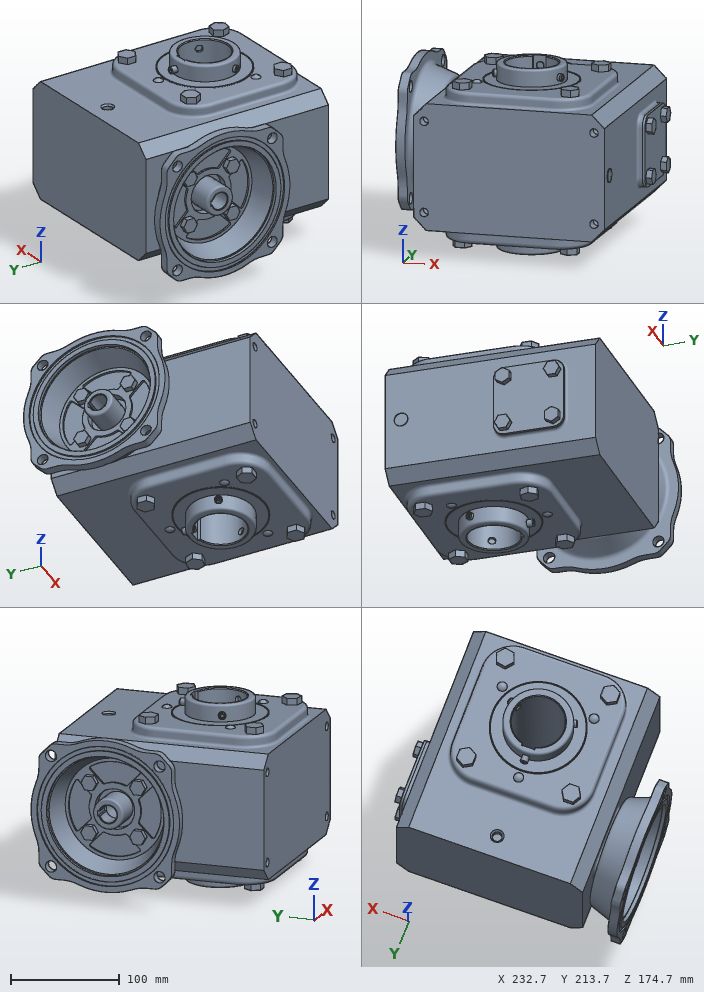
import cadquery as cq
import math


HOUSING_WIDTH = 182.5
HOUSING_HEIGHT = 119.8
HOUSING_Y_MIN = -75.0
HOUSING_Y_MAX = 128.7
HOUSING_CHAMFER = 12.0
WORM_OFFSET = 66.3

FACE_HOLE_X = 81.2
FACE_HOLE_Z = 43.0
FACE_HOLE_RADIUS = 4.0
FACE_HOLE_DEPTH = 11.6

PAD_SIDE = 138.5
PAD_CORNER_RADIUS = 29.8
PAD_HEIGHT = 11.5
PAD_TOP_FILLET = 3.5
PAD_FOOT_FILLET = 2.8
PAD_TOP_Z = HOUSING_HEIGHT / 2 + PAD_HEIGHT
PAD_BOLT_OFFSET = 51.5
PAD_BOLT_FLATS = 15.8
PAD_BOLT_HEIGHT = 6.5
PAD_BOLT_TURNS = (30, 0, -10, 30)
BUTTON_CIRCLE_RADIUS = 52.0
BUTTON_RADIUS = 4.7
BUTTON_HEIGHT = 2.3
BUTTON_ANGLES = (90, 210, 330)

BOSS_SIDE = 68.0
BOSS_CORNER_RADIUS = 10.2
BOSS_FOOT_FILLET = 2.3
INPUT_BOSS_HEIGHT = 2.5
END_BOSS_HEIGHT = 5.0
END_CAP_THICKNESS = 2.5
BOSS_BOLT_OFFSET = BOSS_SIDE / 2 - BOSS_CORNER_RADIUS
BOSS_BOLT_FLATS = 13.3
BOSS_BOLT_HEIGHT = 5.5
BOSS_BOLT_TURNS = (0, 30, 30, 0)

FILL_PLUG_Y = 108.5
FILL_PLUG_RADIUS = 6.3
FILL_PLUG_CONE_DEPTH = 1.6
FILL_PLUG_SOCKET_RADIUS = 4.7
FILL_PLUG_SOCKET_DEPTH = 7.0
LEVEL_PLUG_Y = -59.3
LEVEL_PLUG_RADIUS = 6.5
LEVEL_PLUG_HEIGHT = 0.7

SLEEVE_LENGTH = 174.7
SLEEVE_RADIUS = 32.5
SLEEVE_BORE_RADIUS = 25.0
SLEEVE_OUTER_FILLET = 2.0
SLEEVE_BORE_CHAMFER = 1.0
KEYWAY_WIDTH = 12.5
KEYWAY_TOP_Y = 26.8
SET_SCREW_Z = 77.7
SET_SCREW_RADIUS = 3.5
SET_SCREW_INNER_END = 28.0
SET_SCREW_SOCKET_FLATS = 3.3
SET_SCREW_SOCKET_DEPTH = 2.3
SET_SCREW_CHAMFER = 1.0
KEY_SCREW_ANGLE = 90.0
KEY_SCREW_OUTER_END = 39.0
SIDE_SCREW_ANGLES = (-22.5, 202.5)
SIDE_SCREW_OUTER_END = 36.0
SEAL_RADIUS = 45.0
SEAL_THICKNESS = 10.0
SEAL_CHAMFER = 1.0

FLANGE_LENGTH = 34.7
FLANGE_PLATE_THICKNESS = 8.8
FLANGE_RADIUS = 72.4
FLANGE_SIDE = 129.4
FLANGE_CORNER_CHAMFER = 12.5
FLANGE_CORNER_FILLET = 9.3
FLANGE_BLEND_RADIUS = 37.2
FLANGE_HOLE_OFFSET = 52.8
FLANGE_HOLE_RADIUS = 5.4
BELL_FRONT_RADIUS = 61.5
BELL_BACK_RADIUS = 52.4
BELL_FILLET = 4.7
MOUTH_RADIUS = 57.2
MOUTH_DEPTH = 3.5
CAVITY_FRONT_RADIUS = 55.8
CAVITY_FLOOR_RADIUS = 48.5
CAVITY_DEPTH = 26.5
FACE_GROOVE_INNER_RADIUS = 62.4
FACE_GROOVE_OUTER_RADIUS = 66.5
FACE_GROOVE_DEPTH = 1.9
FLANGE_CENTRE_HOLE_RADIUS = 19.3
FLOOR_POCKET_INNER_RADIUS = 25.1
FLOOR_POCKET_OUTER_RADIUS = 45.1
FLOOR_POCKET_DEPTH = 2.0
FLOOR_POCKET_FILLET = 1.9
FLOOR_RIB_WIDTH = 16.3

WORM_RADIUS = 14.7
WORM_FILLET = 1.9
WORM_BORE_RADIUS = 8.4
WORM_BORE_DEPTH = 18.5
WORM_BORE_CHAMFER = 0.7
WORM_KEYWAY_WIDTH = 5.0
WORM_KEYWAY_REACH = 10.2
WORM_RECESS = 8.0
DRILL_POINT_ANGLE = 118.0

SELECTION_MARGIN = 0.2

INPUT_FACE_X = -HOUSING_WIDTH / 2
BOSS_FACE_X = INPUT_FACE_X - INPUT_BOSS_HEIGHT
FLANGE_FACE_X = BOSS_FACE_X - FLANGE_LENGTH
END_BOSS_X = HOUSING_WIDTH / 2 + END_BOSS_HEIGHT


def worm_plane(x, direction):
    """Workplane square to the worm axis, facing +X or -X; its local X runs along the part's Y."""
    plane = cq.Plane(origin=(x, WORM_OFFSET, 0), xDir=(0, 1, 0), normal=(direction, 0, 0))
    return cq.Workplane(plane)


def output_plane(distance, direction):
    """Workplane square to the output axis, at a distance from the middle and facing outwards."""
    plane = cq.Plane(origin=(0, 0, direction * distance), xDir=(1, 0, 0), normal=(0, 0, direction))
    return cq.Workplane(plane)


def square_points(offset):
    return [(u, v) for u in (-offset, offset) for v in (-offset, offset)]


def hex_head(plane, centre, flats, height, turn=0):
    """Hexagonal bolt head standing on a plane."""
    corner_diameter = flats / math.cos(math.pi / 6)
    return (
        plane.center(*centre)
        .transformed(rotate=(0, 0, turn))
        .polygon(6, corner_diameter)
        .extrude(height)
    )


def rounded_square(plane, side, corner_radius, height):
    block = plane.rect(side, side).extrude(height)
    return block.edges(cq.selectors.ParallelDirSelector(plane.plane.zDir)).fillet(corner_radius)


def blind_hole(plane, centre, radius, depth):
    """Cutter for a drilled hole with a pointed bottom, going in against the plane's normal."""
    tip_depth = depth + radius / math.tan(math.radians(DRILL_POINT_ANGLE / 2))
    shank = plane.center(*centre).circle(radius).extrude(-depth)
    point = cq.Solid.makeCone(
        radius,
        0,
        tip_depth - depth,
        pnt=plane.center(*centre).workplane(offset=-depth).plane.origin,
        dir=-plane.plane.zDir,
    )
    return shank.union(cq.Workplane(point))


def revolved_about_worm(profile):
    """Solid of revolution about the worm axis, from (distance behind the flange face, radius) points."""
    plane = cq.Workplane("XY", origin=(FLANGE_FACE_X, WORM_OFFSET, 0))
    return plane.polyline(profile).close().revolve(360, (0, 0, 0), (1, 0, 0))


def box_around(centre, half_size):
    """Selector for whatever has its centre inside a box."""
    low = [c - h for c, h in zip(centre, half_size)]
    high = [c + h for c, h in zip(centre, half_size)]
    return cq.selectors.BoxSelector(low, high)


def housing_block():
    return (
        cq.Workplane("XZ", origin=(0, HOUSING_Y_MAX, 0))
        .rect(HOUSING_WIDTH, HOUSING_HEIGHT)
        .extrude(HOUSING_Y_MAX - HOUSING_Y_MIN)
        .edges("|Y")
        .chamfer(HOUSING_CHAMFER)
    )


def foot_edges(centre, normal, side):
    """Selector for the edges where a square boss of the given side meets the housing."""
    reach = side / 2 + SELECTION_MARGIN
    return box_around(centre, [SELECTION_MARGIN if component else reach for component in normal])


def add_output_pad(housing, direction):
    """Rounded pad with a flared foot, its bolt heads, button heads and seal recess."""
    foot_z = direction * HOUSING_HEIGHT / 2
    pad = rounded_square(
        output_plane(HOUSING_HEIGHT / 2, direction), PAD_SIDE, PAD_CORNER_RADIUS, PAD_HEIGHT
    )
    pad = pad.faces(">Z" if direction > 0 else "<Z").edges().fillet(PAD_TOP_FILLET)
    housing = housing.union(pad)
    housing = housing.edges(foot_edges((0, 0, foot_z), (0, 0, 1), PAD_SIDE)).fillet(PAD_FOOT_FILLET)

    top = output_plane(PAD_TOP_Z, direction)
    for centre, turn in zip(square_points(PAD_BOLT_OFFSET), PAD_BOLT_TURNS):
        housing = housing.union(hex_head(top, centre, PAD_BOLT_FLATS, PAD_BOLT_HEIGHT, turn))
    for button in button_heads(direction):
        housing = housing.union(button)
    return housing.cut(top.circle(SEAL_RADIUS).extrude(-SEAL_THICKNESS))


def button_heads(direction):
    """Three domed heads around the seal."""
    sphere_radius = (BUTTON_RADIUS**2 + BUTTON_HEIGHT**2) / (2 * BUTTON_HEIGHT)
    centre_z = PAD_TOP_Z + BUTTON_HEIGHT - sphere_radius
    above_pad = output_plane(PAD_TOP_Z, direction).rect(PAD_SIDE, PAD_SIDE).extrude(BUTTON_HEIGHT)
    heads = []
    for angle in BUTTON_ANGLES:
        x = BUTTON_CIRCLE_RADIUS * math.cos(math.radians(angle))
        y = BUTTON_CIRCLE_RADIUS * math.sin(math.radians(angle))
        ball = cq.Workplane(origin=(x, y, direction * centre_z)).sphere(sphere_radius)
        heads.append(ball.intersect(above_pad))
    return heads


def add_worm_boss(housing, direction, height):
    """Rounded square boss with a flared foot, on the worm axis."""
    foot_x = direction * HOUSING_WIDTH / 2
    boss = rounded_square(worm_plane(foot_x, direction), BOSS_SIDE, BOSS_CORNER_RADIUS, height)
    foot = foot_edges((foot_x, WORM_OFFSET, 0), (1, 0, 0), BOSS_SIDE)
    return housing.union(boss).edges(foot).fillet(BOSS_FOOT_FILLET)


def add_oil_plugs(housing):
    """Sunk filler plug on the top face and flat level plug on the +X face."""
    filler_plane = output_plane(HOUSING_HEIGHT / 2, 1).center(0, FILL_PLUG_Y)
    filler = (
        filler_plane.circle(FILL_PLUG_RADIUS)
        .workplane(offset=-FILL_PLUG_CONE_DEPTH)
        .circle(FILL_PLUG_SOCKET_RADIUS)
        .loft()
    )
    socket = filler_plane.circle(FILL_PLUG_SOCKET_RADIUS).extrude(-FILL_PLUG_SOCKET_DEPTH)
    level = (
        cq.Workplane("YZ", origin=(HOUSING_WIDTH / 2, LEVEL_PLUG_Y, 0))
        .circle(LEVEL_PLUG_RADIUS)
        .extrude(LEVEL_PLUG_HEIGHT)
    )
    return housing.cut(filler).cut(socket).union(level)


def make_housing():
    housing = housing_block()
    for direction in (1, -1):
        housing = add_output_pad(housing, direction)
    housing = add_worm_boss(housing, -1, INPUT_BOSS_HEIGHT)
    housing = add_worm_boss(housing, 1, END_BOSS_HEIGHT)
    housing = add_oil_plugs(housing)

    front = cq.Workplane("XZ", origin=(0, HOUSING_Y_MIN, 0))
    for x in (-FACE_HOLE_X, FACE_HOLE_X):
        for z in (-FACE_HOLE_Z, FACE_HOLE_Z):
            housing = housing.cut(blind_hole(front, (x, z), FACE_HOLE_RADIUS, FACE_HOLE_DEPTH))

    bore = cq.Workplane(origin=(0, 0, -PAD_TOP_Z)).circle(SLEEVE_RADIUS).extrude(2 * PAD_TOP_Z)
    return housing.cut(bore)


def make_end_cap():
    """Square cover on the +X boss, with its four bolt heads."""
    cap = rounded_square(worm_plane(END_BOSS_X, 1), BOSS_SIDE, BOSS_CORNER_RADIUS, END_CAP_THICKNESS)
    outside = worm_plane(END_BOSS_X + END_CAP_THICKNESS, 1)
    for centre, turn in zip(square_points(BOSS_BOLT_OFFSET), BOSS_BOLT_TURNS):
        cap = cap.union(hex_head(outside, centre, BOSS_BOLT_FLATS, BOSS_BOLT_HEIGHT, turn))
    return cap


def make_seal(direction):
    """Ring around the sleeve, flush with the top of its pad."""
    ring = (
        output_plane(PAD_TOP_Z, direction)
        .circle(SEAL_RADIUS)
        .circle(SLEEVE_RADIUS)
        .extrude(-SEAL_THICKNESS)
    )
    outer_face = ring.faces(">Z" if direction > 0 else "<Z")
    return outer_face.edges(cq.selectors.RadiusNthSelector(1)).chamfer(SEAL_CHAMFER)


def radial_direction(angle):
    return cq.Vector(math.cos(math.radians(angle)), math.sin(math.radians(angle)), 0)


def radial_cylinder(angle, z, start, end):
    """Cylinder of set-screw size lying between two distances from the output axis."""
    outward = radial_direction(angle)
    base = outward * start + cq.Vector(0, 0, z)
    return cq.Workplane(cq.Solid.makeCylinder(SET_SCREW_RADIUS, end - start, base, outward))


def set_screw(angle, z, end):
    """Set screw with a chamfered outer end and a hexagonal socket."""
    outward = radial_direction(angle)
    outer_end = cq.selectors.DirectionMinMaxSelector(outward)
    screw = radial_cylinder(angle, z, SET_SCREW_INNER_END, end)
    screw = screw.faces(outer_end).edges().chamfer(SET_SCREW_CHAMFER)

    plane = cq.Plane(origin=outward * end + cq.Vector(0, 0, z), xDir=(0, 0, 1), normal=outward)
    corner_diameter = SET_SCREW_SOCKET_FLATS / math.cos(math.pi / 6)
    socket = cq.Workplane(plane).polygon(6, corner_diameter).extrude(-SET_SCREW_SOCKET_DEPTH)
    return screw.cut(socket)


def make_sleeve():
    """Hollow keyed sleeve with three set screws near each end."""
    sleeve = (
        cq.Workplane(origin=(0, 0, -SLEEVE_LENGTH / 2))
        .circle(SLEEVE_RADIUS)
        .circle(SLEEVE_BORE_RADIUS)
        .extrude(SLEEVE_LENGTH)
    )
    bore_rims = cq.selectors.RadiusNthSelector(0)
    sleeve = sleeve.edges("%CIRCLE").edges(bore_rims).chamfer(SLEEVE_BORE_CHAMFER)
    outer_rims = cq.selectors.RadiusNthSelector(-1)
    sleeve = sleeve.edges("%CIRCLE").edges(outer_rims).fillet(SLEEVE_OUTER_FILLET)

    screw_ends = [(KEY_SCREW_ANGLE, KEY_SCREW_OUTER_END)]
    screw_ends += [(angle, SIDE_SCREW_OUTER_END) for angle in SIDE_SCREW_ANGLES]
    for z in (-SET_SCREW_Z, SET_SCREW_Z):
        for angle, end in screw_ends:
            sleeve = sleeve.union(set_screw(angle, z, end))
            sleeve = sleeve.cut(radial_cylinder(angle, z, 0, SET_SCREW_INNER_END))

    keyway = cq.Workplane().box(
        KEYWAY_WIDTH, KEYWAY_TOP_Y, SLEEVE_LENGTH, centered=(True, False, True)
    )
    return sleeve.cut(keyway)


def flange_plate():
    """Round plate with four chamfered ears, blended together."""
    plane = worm_plane(FLANGE_FACE_X, 1)
    ears = plane.rect(FLANGE_SIDE, FLANGE_SIDE).extrude(FLANGE_PLATE_THICKNESS)
    ears = ears.edges("|X").chamfer(FLANGE_CORNER_CHAMFER)
    ears = ears.edges("|X").fillet(FLANGE_CORNER_FILLET)
    disc = plane.circle(FLANGE_RADIUS).extrude(FLANGE_PLATE_THICKNESS)
    crossing = math.sqrt(FLANGE_RADIUS**2 - (FLANGE_SIDE / 2) ** 2)
    plate = ears.union(disc)
    middle_x = FLANGE_FACE_X + FLANGE_PLATE_THICKNESS / 2
    margins = [SELECTION_MARGIN] * 3
    for u, v in ((FLANGE_SIDE / 2, crossing), (crossing, FLANGE_SIDE / 2)):
        for y in (WORM_OFFSET - u, WORM_OFFSET + u):
            for z in (-v, v):
                inner_corner = box_around((middle_x, y, z), margins)
                plate = plate.edges(inner_corner).fillet(FLANGE_BLEND_RADIUS)
    return plate


def flange_bell():
    """Tapered body behind the plate."""
    bell = revolved_about_worm(
        [
            (0, 0),
            (0, BELL_FRONT_RADIUS),
            (FLANGE_PLATE_THICKNESS, BELL_FRONT_RADIUS),
            (FLANGE_LENGTH, BELL_BACK_RADIUS),
            (FLANGE_LENGTH, 0),
        ]
    )
    return bell.faces(">X").edges().fillet(BELL_FILLET)


def flange_cavity():
    """Pilot recess and tapered cavity open at the front, with the shaft hole through the floor."""
    return revolved_about_worm(
        [
            (0, 0),
            (0, MOUTH_RADIUS),
            (MOUTH_DEPTH, MOUTH_RADIUS),
            (MOUTH_DEPTH, CAVITY_FRONT_RADIUS),
            (CAVITY_DEPTH, CAVITY_FLOOR_RADIUS),
            (CAVITY_DEPTH, FLANGE_CENTRE_HOLE_RADIUS),
            (FLANGE_LENGTH, FLANGE_CENTRE_HOLE_RADIUS),
            (FLANGE_LENGTH, 0),
        ]
    )


def floor_pockets():
    """Four shallow pockets in the cavity floor, parted by ribs on the diagonals."""
    floor = worm_plane(FLANGE_FACE_X + CAVITY_DEPTH, 1)
    pockets = (
        floor.circle(FLOOR_POCKET_OUTER_RADIUS)
        .circle(FLOOR_POCKET_INNER_RADIUS)
        .extrude(FLOOR_POCKET_DEPTH)
    )
    for angle in (45, 135):
        rib = (
            floor.transformed(rotate=(0, 0, angle))
            .rect(2 * FLANGE_RADIUS, FLOOR_RIB_WIDTH)
            .extrude(FLOOR_POCKET_DEPTH)
        )
        pockets = pockets.cut(rib)
    return pockets.edges("|X").fillet(FLOOR_POCKET_FILLET)


def make_motor_flange():
    """Motor flange with the four bolt heads that hold it to the housing."""
    flange = flange_plate().union(flange_bell())
    root_x = FLANGE_FACE_X + FLANGE_PLATE_THICKNESS
    bell_root = box_around((root_x, WORM_OFFSET, 0), [SELECTION_MARGIN] * 3)
    flange = flange.edges(bell_root).fillet(BELL_FILLET)

    face = worm_plane(FLANGE_FACE_X, 1)
    groove = (
        face.circle(FACE_GROOVE_OUTER_RADIUS)
        .circle(FACE_GROOVE_INNER_RADIUS)
        .extrude(FACE_GROOVE_DEPTH)
    )
    holes = (
        face.pushPoints(square_points(FLANGE_HOLE_OFFSET))
        .circle(FLANGE_HOLE_RADIUS)
        .extrude(FLANGE_PLATE_THICKNESS)
    )
    flange = flange.cut(flange_cavity()).cut(floor_pockets()).cut(groove).cut(holes)

    floor = worm_plane(FLANGE_FACE_X + CAVITY_DEPTH, -1)
    for centre in square_points(BOSS_BOLT_OFFSET):
        flange = flange.union(hex_head(floor, centre, BOSS_BOLT_FLATS, BOSS_BOLT_HEIGHT))
    return flange


def make_worm_shaft():
    """Hollow-ended input shaft standing on the housing boss inside the motor flange."""
    tip = worm_plane(FLANGE_FACE_X + WORM_RECESS, -1)
    shaft = tip.circle(WORM_RADIUS).extrude(-(FLANGE_LENGTH - WORM_RECESS))
    shaft = shaft.faces("<X").edges().fillet(WORM_FILLET)
    shaft = shaft.cut(blind_hole(tip, (0, 0), WORM_BORE_RADIUS, WORM_BORE_DEPTH))
    bore_rim = cq.selectors.RadiusNthSelector(0)
    shaft = shaft.faces("<X").edges(bore_rim).chamfer(WORM_BORE_CHAMFER)
    keyway = (
        tip.center(WORM_KEYWAY_REACH / 2, 0)
        .rect(WORM_KEYWAY_REACH, WORM_KEYWAY_WIDTH)
        .extrude(-WORM_BORE_DEPTH)
    )
    return shaft.cut(keyway)


housing = make_housing()
end_cap = make_end_cap()
seals = [make_seal(direction) for direction in (1, -1)]
sleeve = make_sleeve()
motor_flange = make_motor_flange()
worm_shaft = make_worm_shaft()

result = cq.Compound.makeCompound(
    [
        housing.val(),
        end_cap.val(),
        *[seal.val() for seal in seals],
        sleeve.val(),
        motor_flange.val(),
        worm_shaft.val(),
    ]
)